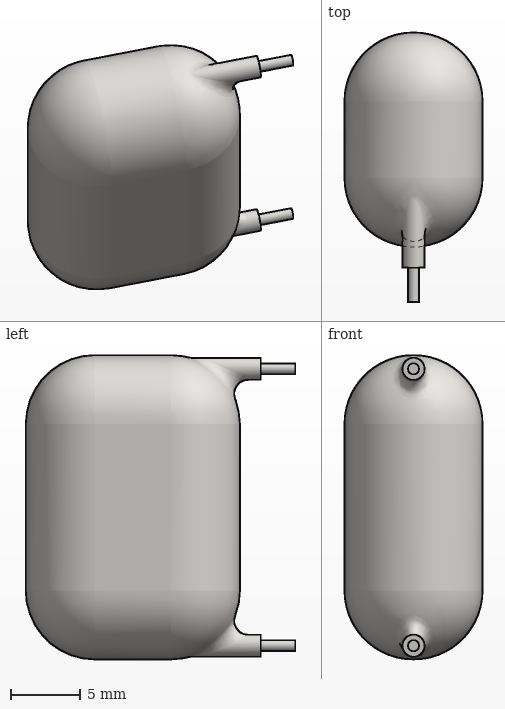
import cadquery as cq

body_width = 10.0
body_depth = 15.5
body_height = 22.0
body_radius = body_width / 2

lead_pitch = 20.0
sleeve_diameter = 1.6
sleeve_length = 1.5
wire_diameter = 0.8
wire_length = 2.5
sleeve_fillet = 1.0

body_front_y = -body_depth / 2
sleeve_end_y = body_front_y - sleeve_length
wire_end_y = sleeve_end_y - wire_length
lead_heights = (-lead_pitch / 2, lead_pitch / 2)

core_depth = body_depth - body_width
core_height = body_height - body_width


def rod_along_y(diameter, start_y, end_y, z):
    """Round rod parallel to Y, from start_y down to end_y, at height z."""
    plane = cq.Workplane("XZ", origin=(0, start_y, z))
    return plane.circle(diameter / 2).extrude(start_y - end_y)


def make_body():
    """Flat-sided slab with fully round rims and spherical corners."""
    body = cq.Workplane("YZ").rect(core_depth, core_height).extrude(body_radius, both=True)
    rim_sides_y = (-core_depth / 2, core_depth / 2)
    for side_y in rim_sides_y:
        rim_plane = cq.Workplane("XY", origin=(0, side_y, -core_height / 2))
        body = body.union(rim_plane.circle(body_radius).extrude(core_height))
    for end_z in (-core_height / 2, core_height / 2):
        body = body.union(rod_along_y(body_width, core_depth / 2, -core_depth / 2, end_z))
        for side_y in rim_sides_y:
            corner = cq.Workplane("XY").sphere(body_radius)
            body = body.union(corner.translate((0, side_y, end_z)))
    return body


def add_sleeves(body):
    """Join the lead sleeves to the body and blend their roots into it."""
    for z in lead_heights:
        body = body.union(rod_along_y(sleeve_diameter, -core_depth / 2, sleeve_end_y, z))
    root_zone = cq.selectors.BoxSelector(
        (-sleeve_diameter, body_front_y, -body_height),
        (sleeve_diameter, -core_depth / 2, body_height),
        boundingbox=True,
    )
    return body.edges(root_zone).fillet(sleeve_fillet)


def add_wires(body):
    """Extend a bare wire from the end of each sleeve."""
    for z in lead_heights:
        body = body.union(rod_along_y(wire_diameter, sleeve_end_y, wire_end_y, z))
    return body


result = add_wires(add_sleeves(make_body()))